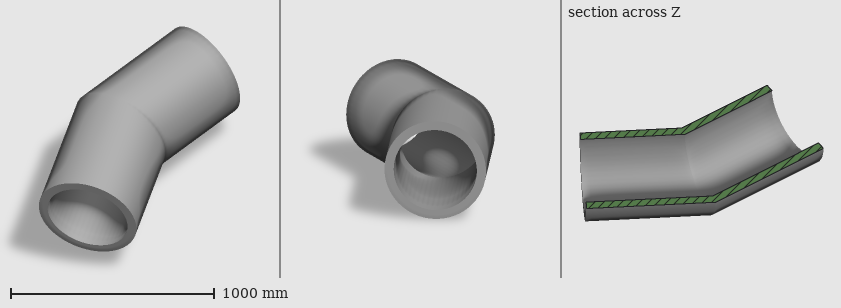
import cadquery as cq
import math

OUTER_DIAMETER = 500.0
INNER_DIAMETER = 409.2
LEG_LENGTH = 570.0
BEND_ANGLE = 30.0


def bent_axis():
    """Pipe axis: first leg along +Y from the origin, second leg turned by the bend angle."""
    bend = math.radians(BEND_ANGLE)
    mitre_point = (0, LEG_LENGTH)
    far_end = (
        LEG_LENGTH * math.sin(bend),
        LEG_LENGTH * (1 + math.cos(bend)),
    )
    return cq.Workplane("XY").polyline([(0, 0), mitre_point, far_end])


def mitred_pipe():
    """Ring section carried along the bent axis, with a sharp mitre at the bend."""
    ring = cq.Workplane("XZ").circle(OUTER_DIAMETER / 2).circle(INNER_DIAMETER / 2)
    return ring.sweep(bent_axis(), transition="right")


result = mitred_pipe()